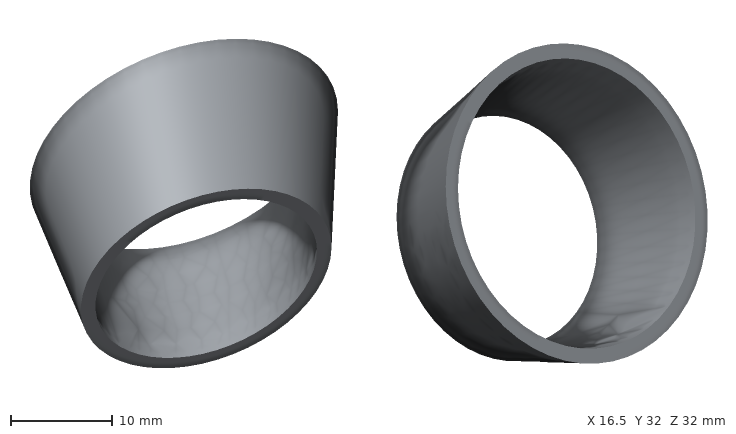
import cadquery as cq

length = 16.5
large_diameter = 32.0
small_diameter = 26.0
wall = 1.5

small_end_offset = -(large_diameter - small_diameter) / 2


def eccentric_cone(start_diameter, end_diameter):
    """Solid skewed cone along +X, from a centred circle to an offset one."""
    return (
        cq.Workplane("YZ")
        .circle(start_diameter / 2)
        .workplane(offset=length)
        .center(small_end_offset, 0)
        .circle(end_diameter / 2)
        .loft(ruled=True)
    )


outside = eccentric_cone(large_diameter, small_diameter)
bore = eccentric_cone(large_diameter - 2 * wall, small_diameter - 2 * wall)

result = outside.cut(bore)